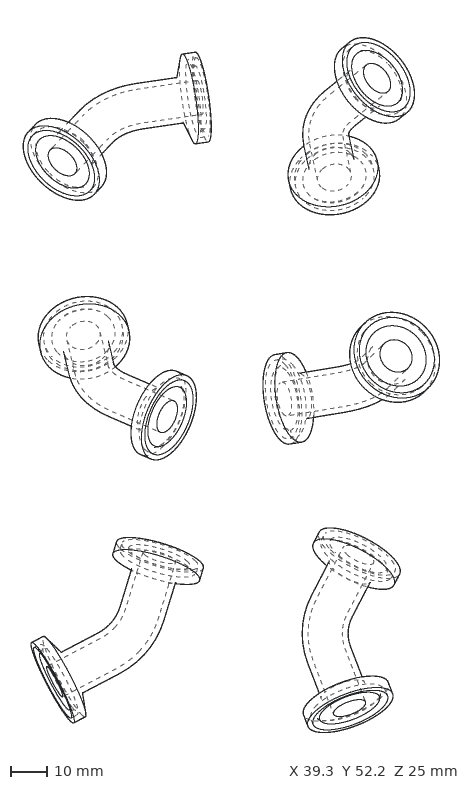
import cadquery as cq
import math


overall_length = 52.2
tube_diameter = 12.7
bore_diameter = 9.4
bend_radius = 19.05
bend_angle = math.radians(45)

flange_diameter = 25.0
rim_thickness = 3.65
ferrule_length = 12.65
back_taper = math.radians(20)
neck_fillet = 0.5

hub_recess = 0.65

groove_diameter = 21.9
groove_wall_depth = 1.55
groove_round = 0.8
groove_taper = math.radians(28)

tube_radius = tube_diameter / 2
bore_radius = bore_diameter / 2
flange_radius = flange_diameter / 2
bend_sin = math.sin(bend_angle)
bend_cos = math.cos(bend_angle)

leg_length = (overall_length - (bend_radius + flange_radius) * bend_sin) / (1 + bend_cos)
straight_length = leg_length - ferrule_length


def ferrule(face_center, inward):
    """Flanged tube end whose axis runs from its front face along the inward direction."""
    plane = cq.Plane(origin=face_center, xDir=(0, 0, 1), normal=(-inward[1], inward[0], 0))

    neck_height = rim_thickness + (flange_radius - tube_radius) * math.tan(back_taper)
    fillet_half_angle = (math.pi / 2 - back_taper) / 2
    fillet_reach = neck_fillet * math.tan(fillet_half_angle)
    cone_end = (
        tube_radius + fillet_reach * math.cos(back_taper),
        neck_height - fillet_reach * math.sin(back_taper),
    )
    fillet_end = (tube_radius, neck_height + fillet_reach)
    fillet_mid = (
        tube_radius + neck_fillet * (1 - math.cos(fillet_half_angle)),
        fillet_end[1] - neck_fillet * math.sin(fillet_half_angle),
    )
    body = (
        cq.Workplane(plane)
        .moveTo(bore_radius, 0)
        .lineTo(flange_radius, 0)
        .lineTo(flange_radius, rim_thickness)
        .lineTo(*cone_end)
        .threePointArc(fillet_mid, fillet_end)
        .lineTo(tube_radius, ferrule_length)
        .lineTo(bore_radius, ferrule_length)
        .close()
        .revolve(360, (0, 0), (0, 1))
    )

    groove_radius = groove_diameter / 2
    round_center = groove_radius - groove_round
    taper_start = (
        round_center - groove_round * math.cos(groove_taper),
        groove_wall_depth + groove_round * math.sin(groove_taper),
    )
    hub_radius = taper_start[0] - (taper_start[1] - hub_recess) * math.tan(groove_taper)
    cavity = (
        cq.Workplane(plane)
        .lineTo(groove_radius, 0)
        .lineTo(groove_radius, groove_wall_depth)
        .threePointArc((round_center, groove_wall_depth + groove_round), taper_start)
        .lineTo(hub_radius, hub_recess)
        .lineTo(0, hub_recess)
        .close()
        .revolve(360, (0, 0), (0, 1))
    )
    return body.cut(cavity)


def along_second_leg(distance):
    """Point on the second leg's axis, measured from the end of the bend."""
    return (
        bend_radius * (1 - bend_cos) + distance * bend_sin,
        leg_length + bend_radius * bend_sin + distance * bend_cos,
    )


def bent_tube():
    """Tube from one ferrule to the other: straight, bend, straight."""
    bend_middle = (
        bend_radius * (1 - math.cos(bend_angle / 2)),
        leg_length + bend_radius * math.sin(bend_angle / 2),
    )
    path = (
        cq.Workplane("XY")
        .moveTo(0, ferrule_length)
        .lineTo(0, leg_length)
        .threePointArc(bend_middle, along_second_leg(0))
        .lineTo(*along_second_leg(straight_length))
    )
    start = cq.Plane(origin=(0, ferrule_length, 0), xDir=(0, 0, 1), normal=(0, 1, 0))
    return cq.Workplane(start).circle(tube_radius).circle(bore_radius).sweep(path)


first_ferrule = ferrule((0, 0, 0), (0, 1))
second_ferrule = ferrule((*along_second_leg(leg_length), 0), (-bend_sin, -bend_cos))

result = bent_tube().union(first_ferrule, clean=False).union(second_ferrule, clean=False)